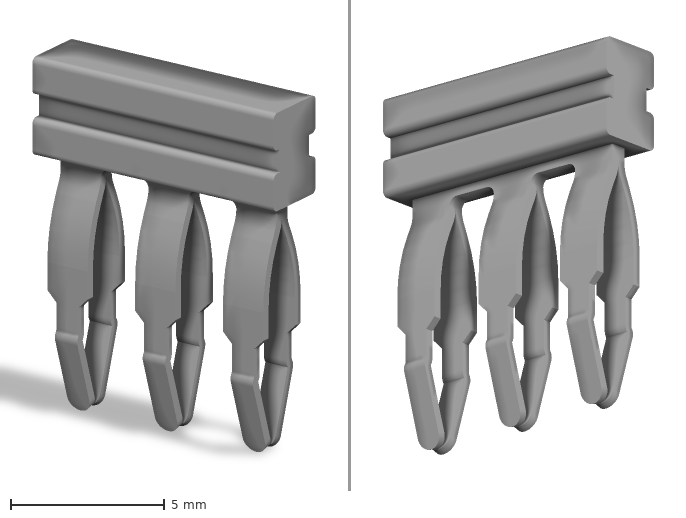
import cadquery as cq
import math

total_height = 12.22

housing_length = 9.6
housing_depth = 2.4
housing_height = 3.41
groove_height = 0.81
groove_depth = 0.38
lip_radius = 0.21

leg_count = 3
leg_pitch = 3.5
leg_width = 1.6
blade_width = 0.89
leaf_thickness = 0.3
bridge_height = 0.28
bridge_corner_radius = 0.29
leg_root_height = 0.54
shoulder_drop = 4.58

splay_angle = 24.5
splay_radius = 1.03
splay_straight = 0.43
belly_radius = 5.45
belly_straight = 2.26
knee_out_angle = 35.0
knee_out_radius = 0.13
knee_radius = 0.32
blade_angle = -17.6

housing_bottom = total_height - housing_height
leg_root_z = housing_bottom - leg_root_height
shoulder_top_z = housing_bottom - shoulder_drop
shoulder_bottom_z = shoulder_top_z - (leg_width - blade_width) / 2
tip_radius = blade_width / 2
bridge_length = (leg_count - 1) * leg_pitch + leg_width
leg_positions = [(i - (leg_count - 1) / 2) * leg_pitch for i in range(leg_count)]


def make_housing():
    bar = cq.Workplane("XY").box(housing_length, housing_depth, housing_height)
    groove = cq.Workplane("XY").box(housing_length, 2 * groove_depth, groove_height)
    for side in (-1, 1):
        bar = bar.cut(groove.translate((0, side * housing_depth / 2, 0)))
    bar = bar.faces(">Y or <Y").edges("|X").fillet(lip_radius)
    return bar.translate((0, 0, housing_bottom + housing_height / 2))


def follow(point, angle, new_angle, size):
    """Point (y, z) reached on the outer face by a straight of a given length,
    or, where the angle changes, by a bend of a given radius."""
    start = math.radians(angle)
    end = math.radians(new_angle)
    y, z = point
    if angle == new_angle:
        return (y + size * math.sin(start), z - size * math.cos(start))
    signed_radius = math.copysign(size, end - start)
    return (
        y + signed_radius * (math.cos(start) - math.cos(end)),
        z - signed_radius * (math.sin(end) - math.sin(start)),
    )


def inward(point, angle, distance):
    """Point (y, z) at a distance into the leaf from a point on its outer face."""
    turn = math.radians(angle)
    return (point[0] - distance * math.cos(turn), point[1] - distance * math.sin(turn))


def trace_leaf():
    """Outer face of the +Y leaf as (point, angle) stations, from the root to the tip centre.

    Each straight or bend adds two stations: its middle and its end.
    """
    stations = [((leaf_thickness, leg_root_z), 0)]

    def add(new_angle, size):
        start, angle = stations[-1]
        middle_angle = (angle + new_angle) / 2
        middle_size = size / 2 if angle == new_angle else size
        stations.append((follow(start, angle, middle_angle, middle_size), middle_angle))
        stations.append((follow(start, angle, new_angle, size), new_angle))

    add(splay_angle, splay_radius)
    add(splay_angle, splay_straight)
    add(0, belly_radius)
    add(0, belly_straight)
    add(knee_out_angle, knee_out_radius)
    add(blade_angle, knee_radius)
    knee_end_z = stations[-1][0][1]
    add(blade_angle, knee_end_z / math.cos(math.radians(blade_angle)) - tip_radius)
    return stations


def draw_face(outline, stations, depth):
    """Add one face of the leaf to its outline, at a depth below the outer face."""
    points = [inward(point, angle, depth) for point, angle in stations]
    angles = [angle for _, angle in stations]
    for i in range(2, len(points), 2):
        if angles[i] == angles[i - 2]:
            outline = outline.lineTo(*points[i])
        else:
            outline = outline.threePointArc(points[i - 1], points[i])
    return outline


def make_leaf_sheet(stations):
    """Bent sheet of the +Y leaf, as long along X as the bridge."""
    outline = cq.Workplane("YZ").moveTo(*stations[0][0])
    outline = draw_face(outline, stations, 0)
    tip_point, tip_angle = stations[-1]
    outline = outline.lineTo(*inward(tip_point, tip_angle, leaf_thickness))
    outline = draw_face(outline, stations[::-1], leaf_thickness)
    return outline.close().extrude(bridge_length / 2, both=True)


def make_silhouette():
    """Block with the outline of the bridge and its legs, deep enough to hold both leaves."""
    block = (
        cq.Workplane("XZ")
        .rect(bridge_length, bridge_height)
        .extrude(housing_depth, both=True)
        .translate((0, 0, housing_bottom - bridge_height / 2))
    )
    for x in leg_positions:
        leg = (
            cq.Workplane("XZ")
            .moveTo(x - leg_width / 2, housing_bottom)
            .lineTo(x + leg_width / 2, housing_bottom)
            .lineTo(x + leg_width / 2, shoulder_top_z)
            .lineTo(x + blade_width / 2, shoulder_bottom_z)
            .lineTo(x + blade_width / 2, 0)
            .lineTo(x - blade_width / 2, 0)
            .lineTo(x - blade_width / 2, shoulder_bottom_z)
            .lineTo(x - leg_width / 2, shoulder_top_z)
            .close()
            .extrude(housing_depth, both=True)
        )
        block = block.union(leg)
    inner_corners = cq.selectors.BoxSelector(
        (leg_positions[0], -housing_depth, leg_root_z),
        (leg_positions[-1], housing_depth, housing_bottom),
    )
    return block.edges("|Y").edges(inner_corners).fillet(bridge_corner_radius)


def make_tip(x, stations):
    """Disc that rounds the lower end of a +Y leaf; its axis is square to the leaf."""
    (y, z), angle = stations[-1]
    turn = math.radians(angle)
    axis = cq.Vector(0, -math.cos(turn), -math.sin(turn))
    return cq.Solid.makeCylinder(tip_radius, leaf_thickness, cq.Vector(x, y, z), axis)


def make_comb():
    stations = trace_leaf()
    bridge = (
        cq.Workplane("XY")
        .workplane(offset=leg_root_z)
        .rect(bridge_length, 2 * leaf_thickness)
        .extrude(leg_root_height)
    )
    sheet = make_leaf_sheet(stations)
    comb = bridge.union(sheet).union(sheet.mirror("XZ")).intersect(make_silhouette())
    for x in leg_positions:
        tip = cq.Workplane(make_tip(x, stations))
        comb = comb.union(tip).union(tip.mirror("XZ"))
    return comb


housing = make_housing()
comb = make_comb()
result = cq.Compound.makeCompound([housing.val(), comb.val()])